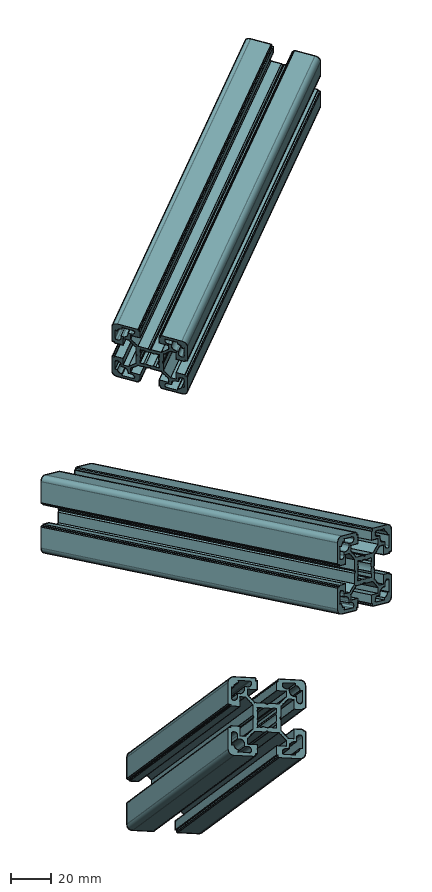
import cadquery as cq
import math

length = 200.0
width = 40.0
half = width / 2
corner_radius = 3.0

slot_opening = 10.0
slot_inner_width = 20.0
lip_depth = 6.0
lip_step_width = 0.7
lip_step_depth = 1.5
lip_bevel = 0.5

core_width = 14.5
web_thickness = 1.5
groove_width = 1.5
groove_depth = 0.5

bore_radius = 5.0
ridge_offset = 2.0
ridge_flank = 1.2

chamber_wall = 1.8
slot_side_wall = 1.5
lip_end_wall = 3.0
lip_back_wall = 1.2
hole_radius = 2.8
arm_overlap = 0.5
arm_back_fillet = 1.8
arm_outer_fillet = 1.0

lip_end = slot_opening / 2
lip_back = half - lip_depth
slot_side = slot_inner_width / 2


def extrude_profile(outline):
    """Extrude a closed XZ outline along Y, centred on the origin."""
    return outline.extrude(length / 2, both=True)


def extrude_points(points):
    """Extrude a straight-sided XZ outline along Y."""
    return extrude_profile(cq.Workplane("XZ").polyline(points).close())


def repeat_around(body):
    """Unite four copies of a body, a quarter turn apart about the Y axis."""
    copies = body
    for turn in range(1, 4):
        copies = copies.union(body.rotate((0, 0, 0), (0, 1, 0), 90 * turn))
    return copies


def mirror_points(points):
    """Complete an XZ outline by reflecting its points off the X = Z diagonal."""
    return points + [(z, x) for x, z in reversed(points) if x != z]


def round_edge(body, x, z, radius):
    """Fillet the lengthwise edge nearest to the given XZ position."""
    edge = cq.selectors.NearestToPointSelector((x, 0, z))
    return body.edges("|Y").edges(edge).fillet(radius)


def make_corner():
    """Solid L-shaped corner block with two stepped, bevelled slot lips."""
    half_outline = [
        (slot_side, slot_side),
        (slot_side, lip_back),
        (lip_end, lip_back),
        (lip_end, half - lip_step_depth),
        (lip_end + lip_step_width, half - lip_step_depth),
        (lip_end + lip_step_width, half - lip_bevel),
        (lip_end + lip_step_width + lip_bevel, half),
        (half, half),
    ]
    block = extrude_points(mirror_points(half_outline))
    return round_edge(block, half, half, corner_radius)


def make_chamber():
    """Hollow inside a corner block: a round hole and two arms along the sides."""
    hole_centre = slot_side + slot_side_wall + hole_radius
    hole = extrude_profile(
        cq.Workplane("XZ").center(hole_centre, hole_centre).circle(hole_radius)
    )
    outer = half - chamber_wall
    arm_reach = hole_centre + arm_overlap
    end = lip_end + lip_end_wall
    back = lip_back + lip_back_wall
    arm = extrude_points([
        (end, outer),
        (arm_reach, outer),
        (arm_reach, hole_centre),
        (slot_side + slot_side_wall, hole_centre),
        (slot_side + slot_side_wall, back),
        (end, back),
    ])
    arm = round_edge(arm, end, back, arm_back_fillet)
    arm = round_edge(arm, end, outer, arm_outer_fillet)
    other_arm = arm.rotate((0, 0, 0), (1, 0, 1), 180)
    return hole.union(arm).union(other_arm)


def make_groove():
    """V groove along the middle of the top core face."""
    face = core_width / 2
    return extrude_points([
        (-groove_width / 2, face),
        (groove_width / 2, face),
        (0, face - groove_depth),
    ])


def make_bore():
    """Round bore opened into the core corners, leaving two ridges on each wall."""
    ridge_height = math.sqrt(bore_radius**2 - ridge_offset**2)
    half_outline = [
        (0, 0),
        (ridge_offset, ridge_height),
        (ridge_offset + ridge_flank, bore_radius),
        (bore_radius, bore_radius),
    ]
    pocket = extrude_points(mirror_points(half_outline))
    bore = extrude_profile(cq.Workplane("XZ").circle(bore_radius))
    return bore.union(repeat_around(pocket))


def make_web():
    """Diagonal plate joining two opposite corner blocks through the core."""
    web_length = 2 * (slot_side + slot_side_wall / 2) * math.sqrt(2)
    plate = cq.Workplane("XY").box(web_length, length, web_thickness)
    return plate.rotate((0, 0, 0), (0, 1, 0), 45)


core = cq.Workplane("XY").box(core_width, length, core_width)
core = core.cut(repeat_around(make_groove()))

result = core.union(repeat_around(make_web()))
result = result.union(repeat_around(make_corner()))
result = result.cut(repeat_around(make_chamber()))
result = result.cut(make_bore())